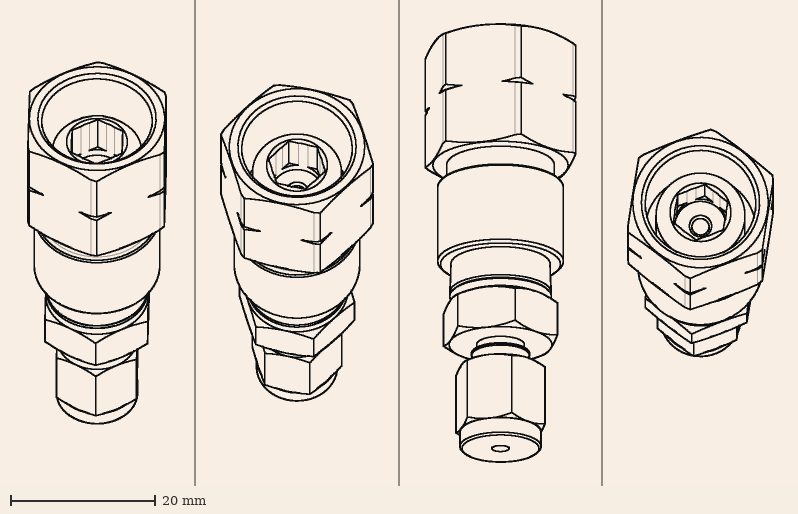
import cadquery as cq
import math


overall_height = 59.4

nut_across_flats = 18.95
nut_height = 17.4
nut_bottom_z = overall_height - nut_height
nut_corner_cut_before = 0.25
nut_corner_cut_after = 0.7
nut_face_radius = 9.4
nut_chamfer_angle = 26.0
nut_bore_radius = 7.65
nut_bore_mouth_radius = 8.2
nut_web_thickness = 3.55
nut_groove_root_radius = 9.9
nut_groove_angle = 23.0

nipple_radius = 6.2
nipple_tip_z = 54.4
nipple_rim_radius = 4.2
nose_height = 1.9
nose_bulge = 0.25
socket_across_flats = 7.0
socket_drill_radius = 3.55
socket_depth = 5.95
socket_drill_depth = 7.1
passage_radius = 1.2
countersink_radius = 1.55

neck_radius = 7.5
barrel_radius = 8.75
barrel_top_z = 39.0
barrel_bottom_z = 27.3
barrel_top_chamfer = 0.25
barrel_bottom_chamfer = 0.4
neck_fillet = 0.35
taper_top_radius = 6.9
taper_bottom_radius = 7.05
taper_bottom_z = 23.1
notch_depth = 0.3
notch_bottom_z = 22.6
undercut_radius = 6.0
undercut_top_z = 21.9

body_hex_across_flats = 14.25
body_hex_top_z = 21.4
body_hex_bottom_z = 15.4

stem_groove_root_radius = 3.2
stem_groove_root_z = 15.0
stem_groove_top_radius = 3.3
stem_groove_bottom_radius = 3.75
stem_lip_radius = 4.05
stem_lip_top_z = 14.2
stem_lip_bottom_z = 13.85
stem_lip_chamfer = 0.1
stem_radius = 4.0

small_nut_across_flats = 11.1
small_nut_top_z = 11.95
small_nut_hex_bottom_z = 2.5
small_nut_skirt_radius = 5.65
small_nut_skirt_chamfer = 0.3

hex_chamfer_angle = 30.0
hex_sides = 6
hex_half_angle = 180 / hex_sides


def slope(angle):
    return math.tan(math.radians(angle))


def revolve_profile(profile):
    """Turn a closed (radius, z) sketch, drawn on XZ, about the Z axis."""
    return profile.close().revolve(360, (0, 0, 0), (0, 1, 0))


def cylinder(radius, bottom_z, top_z):
    return cq.Workplane("XY").workplane(offset=bottom_z).circle(radius).extrude(top_z - bottom_z)


def hex_prism(across_flats, bottom_z, top_z):
    """Hexagonal prism with corners on the X axis."""
    across_corners = across_flats / math.cos(math.radians(hex_half_angle))
    base = cq.Workplane("XY").workplane(offset=bottom_z)
    return base.polygon(hex_sides, across_corners).extrude(top_z - bottom_z)


def corner_chamfers(prism, across_flats, face_radius, bottom_z, top_z, angle):
    """Trim the corners of a hex prism with a cone at each end."""
    reach = across_flats
    drop = (reach - face_radius) * slope(angle)
    envelope = (
        cq.Workplane("XZ")
        .moveTo(0, bottom_z)
        .lineTo(face_radius, bottom_z)
        .lineTo(reach, bottom_z + drop)
        .lineTo(reach, top_z - drop)
        .lineTo(face_radius, top_z)
        .lineTo(0, top_z)
    )
    return prism.intersect(revolve_profile(envelope))


def cut_corner_prism():
    """Captive nut blank: a hexagon whose six corners are cut off slightly askew."""
    apothem = nut_across_flats / 2
    half_side = apothem * slope(hex_half_angle)
    flat_ends = (-half_side + nut_corner_cut_before, half_side - nut_corner_cut_after)
    points = []
    for side in range(hex_sides):
        turn = math.radians(2 * hex_half_angle * side)
        for along in flat_ends:
            x = along * math.cos(turn) + apothem * math.sin(turn)
            y = along * math.sin(turn) - apothem * math.cos(turn)
            points.append((x, y))
    return cq.Workplane("XY").workplane(offset=nut_bottom_z).polyline(points).close().extrude(nut_height)


def corner_groove():
    """V-shaped ring that nicks the six corners at mid height."""
    middle_z = nut_bottom_z + nut_height / 2
    outer_radius = nut_across_flats
    half_width = (outer_radius - nut_groove_root_radius) * slope(nut_groove_angle)
    vee = (
        cq.Workplane("XZ")
        .moveTo(nut_groove_root_radius, middle_z)
        .lineTo(outer_radius, middle_z - half_width)
        .lineTo(outer_radius, middle_z + half_width)
    )
    return revolve_profile(vee)


def make_captive_nut():
    blank = corner_chamfers(cut_corner_prism(), nut_across_flats, nut_face_radius,
                            nut_bottom_z, overall_height, nut_chamfer_angle)
    mouth_depth = nut_bore_mouth_radius - nut_bore_radius
    web_top_z = nut_bottom_z + nut_web_thickness
    bore = (
        cq.Workplane("XZ")
        .moveTo(0, nut_bottom_z)
        .lineTo(nipple_radius, nut_bottom_z)
        .lineTo(nipple_radius, web_top_z)
        .lineTo(nut_bore_radius, web_top_z)
        .lineTo(nut_bore_radius, overall_height - mouth_depth)
        .lineTo(nut_bore_mouth_radius, overall_height)
        .lineTo(0, overall_height)
    )
    return blank.cut(corner_groove()).cut(revolve_profile(bore))


def upper_body():
    """Nipple, neck, barrel and tapered waist, down to the body hex."""
    nose_base_z = nipple_tip_z - nose_height
    nose_width = nipple_radius - nipple_rim_radius
    chord = math.hypot(nose_width, nose_height)
    nose_middle = (
        nipple_radius - nose_width / 2 + nose_bulge * nose_height / chord,
        nose_base_z + nose_height / 2 + nose_bulge * nose_width / chord,
    )
    fillet_middle_offset = neck_fillet * (1 - math.sqrt(0.5))
    profile = (
        cq.Workplane("XZ")
        .moveTo(0, body_hex_top_z)
        .lineTo(undercut_radius, body_hex_top_z)
        .lineTo(undercut_radius, undercut_top_z)
        .lineTo(taper_bottom_radius, notch_bottom_z)
        .lineTo(taper_bottom_radius - notch_depth, (notch_bottom_z + taper_bottom_z) / 2)
        .lineTo(taper_bottom_radius, taper_bottom_z)
        .lineTo(taper_top_radius, barrel_bottom_z)
        .lineTo(barrel_radius - barrel_bottom_chamfer, barrel_bottom_z)
        .lineTo(barrel_radius, barrel_bottom_z + barrel_bottom_chamfer)
        .lineTo(barrel_radius, barrel_top_z - barrel_top_chamfer)
        .lineTo(barrel_radius - barrel_top_chamfer, barrel_top_z)
        .lineTo(neck_radius + neck_fillet, barrel_top_z)
        .threePointArc((neck_radius + fillet_middle_offset, barrel_top_z + fillet_middle_offset),
                       (neck_radius, barrel_top_z + neck_fillet))
        .lineTo(neck_radius, nut_bottom_z)
        .lineTo(nipple_radius, nut_bottom_z)
        .lineTo(nipple_radius, nose_base_z)
        .threePointArc(nose_middle, (nipple_rim_radius, nipple_tip_z))
        .lineTo(0, nipple_tip_z)
    )
    return revolve_profile(profile)


def body_hex():
    prism = hex_prism(body_hex_across_flats, body_hex_bottom_z, body_hex_top_z)
    return corner_chamfers(prism, body_hex_across_flats, body_hex_across_flats / 2,
                           body_hex_bottom_z, body_hex_top_z, hex_chamfer_angle)


def stem():
    """Stem with a rounded groove and a lip, which runs down into the compression nut."""
    profile = (
        cq.Workplane("XZ")
        .moveTo(0, small_nut_hex_bottom_z)
        .lineTo(stem_radius, small_nut_hex_bottom_z)
        .lineTo(stem_radius, stem_lip_bottom_z)
        .lineTo(stem_lip_radius, stem_lip_bottom_z)
        .lineTo(stem_lip_radius, stem_lip_top_z - stem_lip_chamfer)
        .lineTo(stem_lip_radius - stem_lip_chamfer, stem_lip_top_z)
        .lineTo(stem_groove_bottom_radius, stem_lip_top_z)
        .threePointArc((stem_groove_root_radius, stem_groove_root_z),
                       (stem_groove_top_radius, body_hex_bottom_z))
        .lineTo(0, body_hex_bottom_z)
    )
    return revolve_profile(profile)


def passage_and_socket():
    """Hex key socket, the deeper drilled hole inside it, and the countersunk gas passage."""
    floor_z = nipple_tip_z - socket_drill_depth
    socket = hex_prism(socket_across_flats, nipple_tip_z - socket_depth, nipple_tip_z)
    drilled = cylinder(socket_drill_radius, floor_z, nipple_tip_z)
    countersink_depth = countersink_radius - passage_radius
    passage = (
        cq.Workplane("XZ")
        .moveTo(0, small_nut_hex_bottom_z)
        .lineTo(passage_radius, small_nut_hex_bottom_z)
        .lineTo(passage_radius, floor_z - countersink_depth)
        .lineTo(countersink_radius, floor_z)
        .lineTo(0, floor_z)
    )
    return socket.union(drilled).union(revolve_profile(passage))


def make_body():
    return upper_body().union(body_hex()).union(stem()).cut(passage_and_socket())


def make_compression_nut():
    prism = hex_prism(small_nut_across_flats, small_nut_hex_bottom_z, small_nut_top_z)
    hexagon = corner_chamfers(prism, small_nut_across_flats, small_nut_across_flats / 2,
                              small_nut_hex_bottom_z, small_nut_top_z, hex_chamfer_angle)
    skirt = cylinder(small_nut_skirt_radius, 0, small_nut_hex_bottom_z)
    skirt = skirt.faces("<Z").chamfer(small_nut_skirt_chamfer)
    stem_recess = cylinder(stem_radius, small_nut_hex_bottom_z, small_nut_top_z)
    passage = cylinder(passage_radius, 0, small_nut_hex_bottom_z)
    return hexagon.union(skirt).cut(stem_recess).cut(passage)


captive_nut = make_captive_nut()
body = make_body()
compression_nut = make_compression_nut()

result = cq.Compound.makeCompound([captive_nut.val(), body.val(), compression_nut.val()])